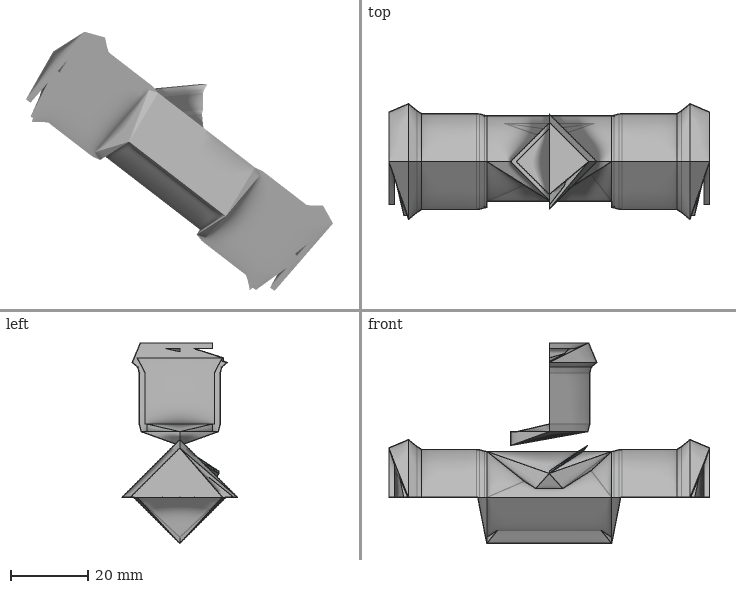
import cadquery as cq
import math


run_half = 16.15
run_radius = 11.9
bore_radius = 10.3
end_bulge_half = 18.5
end_bulge_width = 11.0
end_bulge_tip = 16.5
keel_half = 13.4
keel_z = -8.5

saddle_tip = (0, -10.1, 6.2)
saddle_foot_half = 3.5
saddle_foot_z = 2.3
left_web = (-6.4, 4.2)
right_web = (10.75, 7.0)
fin_rise = 0.6
fin_root_x = 7.5
fin_end = (9.9, 0, 13.4)
rear_lip_half = 11.6
rear_lip_y = 9.9
rear_lip_inner = (3.4, 7.0)
rear_lip_crest_y = 8.3
rear_lip_rise = 0.5

lip_thickness = 1.5
lip_step = 1.7
seat_setback = 1.2
seat_inset = 1.0
seat_rim_y = 3.8

run_end = 41.5
run_mouth_radius = 12.8
run_collar = (36.4, 14.97)
run_stations = [
    (run_half, run_radius),
    (16.8, 12.0),
    (18.0, 12.35),
    (18.75, 12.4),
    (33.0, 12.4),
    (34.25, 13.2),
    run_collar,
]

branch_end = 40.0
branch_base = 17.0
branch_shoulder = 19.0
branch_base_radius = 10.0
branch_mouth_radius = 10.2
branch_collar = (34.9, 12.3)
branch_stations = [
    (branch_base, branch_base_radius),
    (branch_shoulder, 10.5),
    (32.2, 10.5),
    (33.7, 10.9),
    branch_collar,
]
neck_tip_z = 13.4
neck_rim = 1.5

panel_depth = 0.1
panel_outline = [(9.0, branch_shoulder), (9.0, 32.2), (9.7, 33.7), (11.0, 36.0)]


def convex_solid(points):
    """Solid convex polyhedron whose corners are the given points."""
    corners = [cq.Vector(*p) for p in points]
    tolerance = 1e-6
    faces = {}
    for i, a in enumerate(corners):
        for j in range(i + 1, len(corners)):
            for k in range(j + 1, len(corners)):
                normal = (corners[j] - a).cross(corners[k] - a)
                if normal.Length < tolerance:
                    continue
                normal = normal.normalized()
                heights = [(c - a).dot(normal) for c in corners]
                if max(heights) > tolerance and min(heights) < -tolerance:
                    continue
                on_face = frozenset(n for n, h in enumerate(heights) if abs(h) <= tolerance)
                faces[on_face] = normal
    return cq.Solid.makeSolid(cq.Shell.makeShell([ringed_face(corners, f, n) for f, n in faces.items()]))


def ringed_face(corners, members, normal):
    """Flat face through the member corners, taken in order around their middle."""
    ring = [corners[n] for n in members]
    middle = sum(ring, cq.Vector()) / len(ring)
    along = (ring[0] - middle).normalized()
    across = normal.cross(along)
    ring.sort(key=lambda c: math.atan2((c - middle).dot(across), (c - middle).dot(along)))
    return cq.Face.makeFromWires(cq.Wire.makePolygon(ring, close=True))


def joined(solids):
    """One body fused from overlapping or touching solids."""
    body = cq.Workplane(solids[0])
    for solid in solids[1:]:
        body = body.union(cq.Workplane(solid))
    return body.clean()


def both_sides(x, y, z):
    return [(-x, y, z), (x, y, z)]


def section(axial, radius):
    """Corners of a socket's half-diamond section, as (axial, Y, apex)."""
    return [(axial, radius, 0), (axial, 0, radius), (axial, -radius, 0)]


def socket_solids(stations, collar, end, mouth_radius, place):
    """Barrel, collar cone, mouth lip and seal seat; place maps (axial, Y, apex) to X, Y, Z."""
    peak, peak_radius = collar
    pieces = [section(*near) + section(*far) for near, far in zip(stations, stations[1:])]

    mouth_corners = section(end, mouth_radius)[:2]
    pieces.append(section(peak, peak_radius) + mouth_corners)

    lip_back = end - lip_thickness
    lip = []
    for axial in (lip_back, end):
        lip += section(axial, mouth_radius)[:2]
        lip.append((axial, lip_step - mouth_radius, 0))
    pieces.append(lip)

    seat = [
        (peak, 0, 0),
        (peak, seat_inset - peak_radius, 0),
        (peak + seat_setback, seat_inset - peak_radius, 0),
        (lip_back, -seat_rim_y, 0),
        (lip_back, 0, 0),
        (lip_back, 0, mouth_radius - lip_thickness),
    ]
    pieces.append(seat)
    return [convex_solid([place(*p) for p in piece]) for piece in pieces]


def run_socket(side):
    def place(axial, y, apex):
        return (side * axial, y, apex)

    return joined(socket_solids(run_stations, run_collar, run_end, run_mouth_radius, place))


def branch_socket():
    def place(axial, y, apex):
        return (apex, y, axial)

    solids = socket_solids(branch_stations, branch_collar, branch_end, branch_mouth_radius, place)
    r = branch_base_radius
    base_sides = [(0, -r, branch_base), (0, r, branch_base)]
    skew_neck = [(-r, 0, neck_tip_z), (-r, 0, branch_base), (r, 0, branch_base)] + base_sides
    inner = r - neck_rim
    ramp = [(-inner, 0, branch_base)]
    for y in (-inner, inner):
        ramp += [(0, y, branch_base), (0, y, branch_shoulder)]
    body = joined(solids + [convex_solid(skew_neck), convex_solid(ramp)])
    return body.cut(flat_side_panel())


def flat_side_panel():
    """Cutter for the panel, flared towards the collar."""
    mirrored = [(-half_width, z) for half_width, z in reversed(panel_outline)]
    return cq.Workplane("YZ").polyline(panel_outline + mirrored).close().extrude(panel_depth)


def run_shell():
    """Full-size rear half, front half cut back to the bore wall, and the lower end bulges."""
    rear, front = [
        [*both_sides(run_half, 0, -radius), *both_sides(run_half, y, 0), *both_sides(run_half, 0, radius)]
        for radius, y in ((run_radius, run_radius), (bore_radius, -bore_radius))
    ]
    bulges = []
    for side in (-1, 1):
        bulge = [(side * run_half, 0, -run_radius), (side * end_bulge_tip, 0, -bore_radius)]
        for y_side in (-1, 1):
            bulge.append((side * run_half, y_side * run_radius, 0))
            bulge.append((side * end_bulge_half, y_side * end_bulge_width, 0))
        bulges.append(bulge)
    return [convex_solid(points) for points in (rear, front, *bulges)]


def saddle():
    """Overhanging front canopy, with a web to each end and a thin fin on top."""
    ridge = both_sides(run_half, 0, run_radius)
    foot = both_sides(saddle_foot_half, saddle_foot_z - bore_radius, saddle_foot_z)
    canopy = ridge + foot + both_sides(run_half, 0, bore_radius) + [saddle_tip]
    solids = [convex_solid(canopy)]
    for side, (x, z) in ((-1, left_web), (1, right_web)):
        end = side * run_half
        web = [(end, 0, run_radius), (end, -bore_radius, 0), (end, 0, 0), (x, z - bore_radius, z)]
        solids.append(convex_solid(web))
    tip_x, tip_y, tip_z = saddle_tip
    fin = [saddle_tip, (tip_x, tip_y, tip_z + fin_rise), fin_end]
    fin += [(fin_root_x, 0, run_radius), (fin_root_x, 0, bore_radius)]
    solids.append(convex_solid(fin))
    return solids


def keel_band():
    """Sloping band that joins the lower bore wall to the bottom edge."""
    bottom = both_sides(run_half, 0, -run_radius)
    upper = both_sides(keel_half, -keel_z - bore_radius, keel_z)
    return convex_solid(bottom + upper + both_sides(run_half, 0, -bore_radius))


def rear_lip():
    """Low raised lip on the rear upper side."""
    inner_half, inner_y = rear_lip_inner
    edge = both_sides(rear_lip_half, rear_lip_y, run_radius - rear_lip_y)
    edge += both_sides(inner_half, inner_y, run_radius - inner_y)
    crest = (0, rear_lip_crest_y, run_radius - rear_lip_crest_y + rear_lip_rise)
    root = both_sides(inner_half, inner_y, 0)
    return convex_solid(edge + [crest] + root)


def run_body():
    return joined(run_shell() + saddle() + [keel_band(), rear_lip()])


tee_run = run_body()
run_sockets = [run_socket(side) for side in (-1, 1)]
branch = branch_socket()
result = cq.Compound.makeCompound([tee_run.val(), *[s.val() for s in run_sockets], branch.val()])